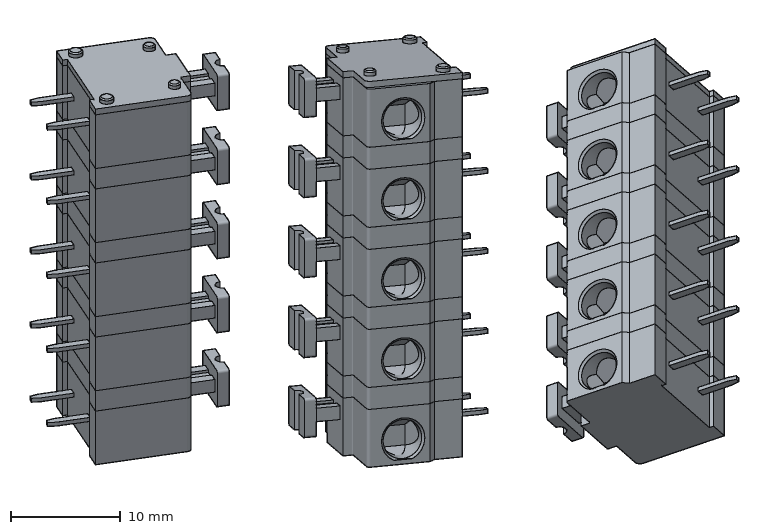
import cadquery as cq
import math


total_height = 37.05
peg_height = 0.5
cover_thickness = 0.6
module_count = 5
module_height = 5.52
stack_height = total_height - peg_height - cover_thickness
spacer_height = (stack_height - module_count * module_height) / (module_count - 1)
pitch = module_height + spacer_height

body_width = 12.0
body_depth = 9.25
nose_width = 4.55
nose_depth = 10.22
nose_root_radius = 0.1
corner_radius = 0.52
foot_width = 1.9
foot_height = 0.45

strip_thickness = 0.5
strip_corner_radius = 0.3
strip_ramp_start = 2.7
strip_ramp_end = 3.25

mouth_center_y = 5.85
mouth_center_z = 2.35
mouth_diameter = 3.7
mouth_chamfer = 0.22
mouth_flat_drop = 1.9
funnel_depth = 2.95
floor_half_width = 1.15
floor_bottom = -1.45
floor_top = 0.52
side_angle = 21.0
bottom_angle = 14.0
top_angle = 38.0

button_center_z = 3.9
head_depth = 1.15
head_height = 3.75
head_corner_radius = 0.25
overall_front = 13.93
notch_diameter = 1.25
stem_width = 2.93
stem_height = 1.3
stem_groove_width = 1.05
stem_groove_depth = 0.25

pin_spacing = 5.0
pin_row_x = 0.05
pin_width = 0.78
pin_thickness = 0.4
pin_center_z = 3.07
pin_end_y = -3.55
pin_tip_length = 0.8
pin_tip_width = 0.45

peg_chamfer = 0.13
front_peg_diameter = 1.1
front_peg_x = 3.9
front_peg_y = 8.2
rear_peg_diameter = 1.3
rear_peg_x = 4.78
rear_peg_y = 1.45

half_body = body_width / 2
half_nose = nose_width / 2
strip_face_x = -half_body - strip_thickness


def round_corner(solid, x, y, height, radius):
    """Fillet the vertical edge that stands at (x, y)."""
    corner = cq.selectors.NearestToPointSelector((x, y, height / 2))
    return solid.edges("|Z").edges(corner).fillet(radius)


def plain_plate(height):
    """Common outline with nose and feet, extruded from Z = 0."""
    half_gap = half_body - foot_width
    plate = (
        cq.Workplane("XY")
        .polyline([
            (-half_body, 0),
            (-half_gap, 0),
            (-half_gap, foot_height),
            (half_gap, foot_height),
            (half_gap, 0),
            (half_body, 0),
            (half_body, body_depth),
            (half_nose, body_depth),
            (half_nose, nose_depth),
            (-half_nose, nose_depth),
            (-half_nose, body_depth),
            (-half_body, body_depth),
        ])
        .close()
        .extrude(height)
    )
    for side in (-1, 1):
        plate = round_corner(plate, side * half_nose, body_depth, height, nose_root_radius)
    return round_corner(plate, half_body, body_depth, height, corner_radius)


def strip_plate(height):
    """Common outline with the raised strip on its -X face."""
    strip = (
        cq.Workplane("XY")
        .polyline([
            (-half_body, strip_ramp_start),
            (strip_face_x, strip_ramp_end),
            (strip_face_x, body_depth),
            (-half_body, body_depth),
        ])
        .close()
        .extrude(height)
    )
    plate = plain_plate(height).union(strip)
    return round_corner(plate, strip_face_x, body_depth, height, strip_corner_radius)


def wire_funnel():
    """Cutter: chamfered round mouth narrowed by four sloping walls to a flat floor."""
    mouth_radius = mouth_diameter / 2
    entry_plane = cq.Plane(
        origin=(strip_face_x, mouth_center_y, mouth_center_z), xDir=(0, -1, 0), normal=(1, 0, 0)
    )
    bore = cq.Workplane(entry_plane).circle(mouth_radius).extrude(funnel_depth)

    side_flare = funnel_depth * math.tan(math.radians(side_angle))
    bottom_flare = funnel_depth * math.tan(math.radians(bottom_angle))
    top_flare = funnel_depth * math.tan(math.radians(top_angle))
    entry_height = floor_top - floor_bottom + top_flare + bottom_flare
    entry_center = (floor_top + top_flare + floor_bottom - bottom_flare) / 2
    floor_center = (floor_top + floor_bottom) / 2
    walls = (
        cq.Workplane(entry_plane)
        .center(0, -entry_center)
        .rect(2 * (floor_half_width + side_flare), entry_height)
        .workplane(offset=funnel_depth)
        .center(0, entry_center - floor_center)
        .rect(2 * floor_half_width, floor_top - floor_bottom)
        .loft(ruled=True)
    )
    mouth = (
        cq.Workplane(entry_plane)
        .circle(mouth_radius + mouth_chamfer)
        .workplane(offset=mouth_chamfer)
        .circle(mouth_radius)
        .loft()
    )
    below_bore = (
        cq.Workplane("XY")
        .box(2 * funnel_depth, body_depth, mouth_chamfer, centered=(True, True, False))
        .translate((strip_face_x, mouth_center_y, mouth_center_z - mouth_flat_drop - mouth_chamfer))
    )
    mouth = mouth.cut(below_bore)
    return bore.intersect(walls).union(mouth)


def push_button():
    """Grooved stem in front of the nose, carrying a notched head."""
    head_back = overall_front - head_depth
    head = (
        cq.Workplane("XY")
        .box(nose_width, head_depth, head_height, centered=(True, False, True))
        .edges("|Y")
        .fillet(head_corner_radius)
        .translate((0, head_back, 0))
    )
    notch = (
        cq.Workplane("XY")
        .center(0, overall_front)
        .circle(notch_diameter / 2)
        .extrude(head_height, both=True)
    )
    stem_length = head_back - nose_depth
    stem = (
        cq.Workplane("XY")
        .box(stem_width, stem_length, stem_height, centered=(True, False, True))
        .translate((0, nose_depth, 0))
    )
    groove = (
        cq.Workplane("XY")
        .box(stem_groove_width, stem_length, stem_groove_depth, centered=(True, False, False))
        .translate((0, nose_depth, stem_height / 2 - stem_groove_depth))
    )
    return head.cut(notch).union(stem.cut(groove)).translate((0, 0, button_center_z))


def solder_pin(center_x):
    """Flat pin leaving the floor between the feet, narrowed at its tip."""
    half_width = pin_width / 2
    half_tip = pin_tip_width / 2
    shoulder_y = pin_end_y + pin_tip_length
    return (
        cq.Workplane("XY")
        .polyline([
            (-half_width, foot_height),
            (-half_width, shoulder_y),
            (-half_tip, pin_end_y),
            (half_tip, pin_end_y),
            (half_width, shoulder_y),
            (half_width, foot_height),
        ])
        .close()
        .extrude(pin_thickness)
        .translate((center_x, 0, pin_center_z - pin_thickness / 2))
    )


def terminal_module():
    """Housing slice with its wire funnel, push button and two solder pins."""
    module = strip_plate(module_height).cut(wire_funnel()).union(push_button())
    for side in (-1, 1):
        module = module.union(solder_pin(pin_row_x + side * pin_spacing / 2))
    return module


def cover_plate():
    """End plate without the strip, with four pegs standing on it."""
    plate = plain_plate(cover_thickness)
    plate = round_corner(plate, -half_body, body_depth, cover_thickness, corner_radius)
    pegs = (
        (front_peg_x, front_peg_y, front_peg_diameter),
        (rear_peg_x, rear_peg_y, rear_peg_diameter),
    )
    for x, y, diameter in pegs:
        for side in (-1, 1):
            peg = (
                cq.Workplane("XY")
                .circle(diameter / 2)
                .extrude(peg_height)
                .faces(">Z")
                .chamfer(peg_chamfer)
                .translate((side * x, y, cover_thickness))
            )
            plate = plate.union(peg)
    return plate


module = terminal_module()
modules = [module.translate((0, 0, i * pitch)) for i in range(module_count)]

spacer = strip_plate(spacer_height)
spacers = [
    spacer.translate((0, 0, i * pitch + module_height)) for i in range(module_count - 1)
]

cover = cover_plate().translate((0, 0, stack_height))

result = cq.Compound.makeCompound([body.val() for body in [*modules, *spacers, cover]])